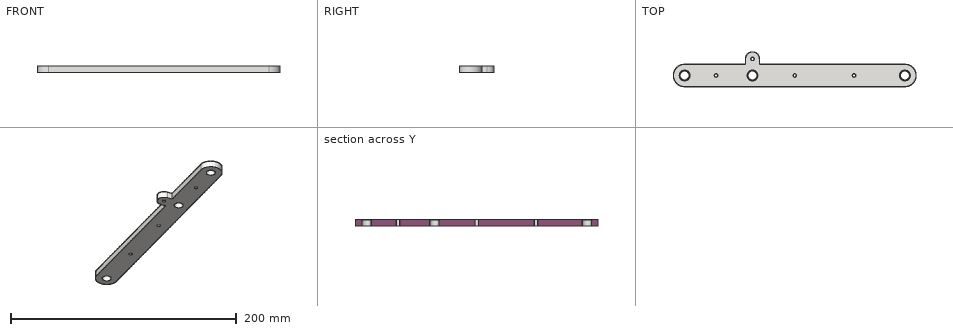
import cadquery as cq

length = 215.0
width = 20.0
thickness = 6.0
end_radius = width / 2
pivot_x = length / 2 - end_radius

middle_pivot_x = -37.5
ear_width = 12.5
ear_radius = ear_width / 2
overall_width = 31.0
ear_center_y = overall_width - end_radius - ear_radius

pivot_hole_diameter = 8.0
countersink_diameter = 9.5
countersink_angle = 90
pivot_points = [(-pivot_x, 0), (middle_pivot_x, 0), (pivot_x, 0)]

pin_hole_diameter = 2.8
pin_points = [(-69.7, 0), (0, 0), (52.5, 0), (middle_pivot_x, ear_center_y)]


def make_bar():
    return cq.Workplane("XY").slot2D(length, width).extrude(thickness)


def make_ear():
    web = (
        cq.Workplane("XY")
        .center(middle_pivot_x, ear_center_y / 2)
        .rect(ear_width, ear_center_y)
        .extrude(thickness)
    )
    tip = (
        cq.Workplane("XY")
        .center(middle_pivot_x, ear_center_y)
        .circle(ear_radius)
        .extrude(thickness)
    )
    return web.union(tip)


plate = make_bar().union(make_ear())

result = (
    plate.faces(">Z")
    .workplane(origin=(0, 0, thickness))
    .pushPoints(pivot_points)
    .cskHole(pivot_hole_diameter, countersink_diameter, countersink_angle)
    .faces(">Z")
    .workplane(origin=(0, 0, thickness))
    .pushPoints(pin_points)
    .hole(pin_hole_diameter)
)